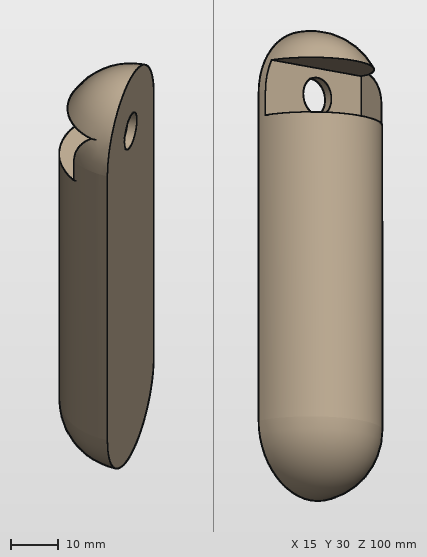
import cadquery as cq

length = 100.0
radius = 15.0

notch_bottom = 80.0
notch_top = 92.0
back_wall = 2.0
side_wall_y = -12.5

hole_diameter = 8.0
hole_height = (notch_bottom + notch_top) / 2


def half_capsule():
    """Capsule along Z with round ends, halved by the YZ plane and kept on the -X side."""
    return (
        cq.Workplane("YZ")
        .moveTo(0, 0)
        .radiusArc((radius, radius), -radius)
        .lineTo(radius, length - radius)
        .radiusArc((0, length), -radius)
        .close()
        .revolve(180, (0, 0, 0), (0, 1, 0))
    )


def notch():
    """Box reaching the outer surface on the -X and +Y sides."""
    return cq.Workplane("XY").box(
        radius - back_wall,
        radius - side_wall_y,
        notch_top - notch_bottom,
        centered=False,
    ).translate((-radius, side_wall_y, notch_bottom))


def wall_hole():
    """Round cutter along X, from the flat face through the back wall."""
    return (
        cq.Workplane("YZ")
        .center(0, hole_height)
        .circle(hole_diameter / 2)
        .extrude(-back_wall)
    )


result = half_capsule().cut(notch()).cut(wall_hole())